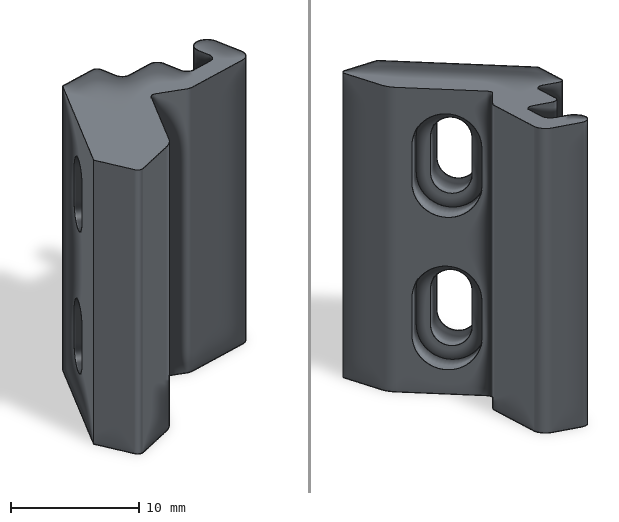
import cadquery as cq
import math

width = 11.8
height = 25.0

face_left_y = 10.0
face_foot_x = 7.72
body_thickness = 6.42
notch_y = 11.78

tilt = math.radians(14)
step_1_along = 4.05
step_2_across = 2.75
step_2_along = 8.0
arm_inner_across = 6.0
arm_outer_across = 7.8
arm_root_along = 6.18
hook_tip_across = 3.1
hook_under_along = 11.4
hook_top_along = 13.5

small_radius = 0.5
step_radius = 0.75
arm_root_radius = 1.0
hook_corner_radius = 1.05
shoulder_radius = 2.0
hook_tip_radius = (hook_top_along - hook_under_along) / 2

slot_straight = 3.0
slot_width = 3.25
counterbore_width = 5.5
counterbore_depth = 2.6
slot_spacing = height / 2

face_length = math.hypot(face_foot_x, face_left_y)
normal_x = face_left_y / face_length
normal_y = face_foot_x / face_length


def arm_point(across, along):
    """Convert tilted arm coordinates to plan X, Y."""
    x = across * math.cos(tilt) + along * math.sin(tilt)
    y = face_left_y - across * math.sin(tilt) + along * math.cos(tilt)
    return x, y


def make_profile_solid():
    """Extrude the sharp outline, round its vertical edges and add the round hook tip."""
    back_distance = normal_y * face_left_y + body_thickness
    notch_x = (back_distance - normal_y * notch_y) / normal_x
    shoulder_y = (back_distance - normal_x * width) / normal_y
    tip_centre_across = hook_tip_across + hook_tip_radius
    corners = [
        ((face_foot_x, 0), 0),
        ((width, 0), small_radius),
        ((width, shoulder_y), shoulder_radius),
        ((notch_x, notch_y), small_radius),
        (arm_point(arm_outer_across, arm_root_along), arm_root_radius),
        (arm_point(arm_outer_across, hook_top_along), hook_corner_radius),
        (arm_point(tip_centre_across, hook_top_along), 0),
        (arm_point(tip_centre_across, hook_under_along), 0),
        (arm_point(arm_inner_across, hook_under_along), step_radius),
        (arm_point(arm_inner_across, step_2_along), step_radius),
        (arm_point(step_2_across, step_2_along), step_radius),
        (arm_point(step_2_across, step_1_along), step_radius),
        (arm_point(0, step_1_along), small_radius),
        ((0, face_left_y), 0),
    ]
    solid = cq.Workplane("XY").polyline([point for point, _ in corners]).close().extrude(height)
    for (x, y), radius in corners:
        if radius > 0:
            corner_edge = cq.selectors.NearestToPointSelector((x, y, height / 2))
            solid = solid.edges("|Z").edges(corner_edge).fillet(radius)
    tip_centre = arm_point(tip_centre_across, hook_top_along - hook_tip_radius)
    hook_tip = cq.Workplane("XY").center(*tip_centre).circle(hook_tip_radius).extrude(height)
    return solid.union(hook_tip)


def make_slots(slot_size, start_depth, end_depth):
    """Upright slots square to the clamping face, between two depths below it."""
    origin = (
        face_foot_x / 2 + start_depth * normal_x,
        face_left_y / 2 + start_depth * normal_y,
        height / 2,
    )
    plane = cq.Plane(origin=origin, xDir=(0, 0, 1), normal=(normal_x, normal_y, 0))
    return (
        cq.Workplane(plane)
        .pushPoints([(-slot_spacing / 2, 0), (slot_spacing / 2, 0)])
        .slot2D(slot_straight + slot_size, slot_size)
        .extrude(end_depth - start_depth)
    )


through_slots = make_slots(slot_width, 0, body_thickness)
counterbores = make_slots(counterbore_width, body_thickness - counterbore_depth, body_thickness)
result = make_profile_solid().cut(through_slots).cut(counterbores)